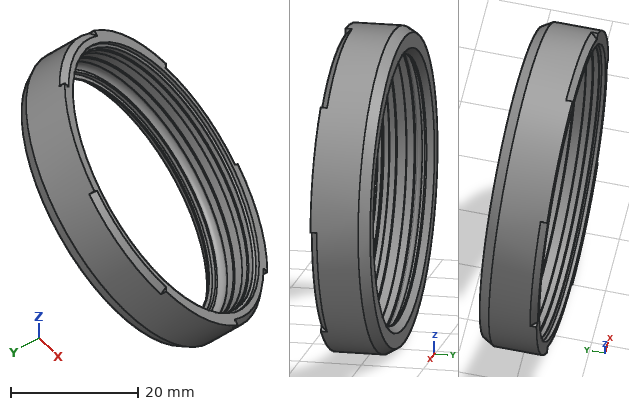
import cadquery as cq
import math

outer_radius = 26.0
width = 9.4
mouth_face = -width / 2
lip_face = width / 2

rim_chamfer_radial = 1.0
rim_chamfer_axial = 1.7

mouth_radius = 23.85
mouth_depth = 0.6
entry_cone_depth = 0.25

barrel_radius = 23.6
band_radius = 23.4
band_flank = 0.15
first_band_start = mouth_face + 2.05
first_band_end = first_band_start + 1.0
second_band_start = first_band_start + 2.75
second_band_end = second_band_start + 1.2
bands = [
    (first_band_start, first_band_end),
    (second_band_start, second_band_end),
]

seat_plane = mouth_face + 7.5
seat_radius = 22.8
cove_radius = 1.2
step_radius = 22.3
step_plane = seat_plane + 0.6
bore_radius = 21.55
lip_thickness = 0.25

notch_count = 4
notch_sweep = 45
notch_radial = 1.0
notch_axial = 1.05


def ring_body():
    """Revolve the ring section; sketch x is the radius and sketch y is the axis."""
    lead_in_edge = mouth_face + mouth_depth + entry_cone_depth

    cove_center_radius = barrel_radius - cove_radius
    cove_angle = math.acos((seat_radius - cove_center_radius) / cove_radius)
    cove_start = seat_plane - cove_radius * math.sin(cove_angle)
    cove_middle = (
        cove_center_radius + cove_radius * math.cos(cove_angle / 2),
        cove_start + cove_radius * math.sin(cove_angle / 2),
    )

    countersink_depth = lip_face - step_plane - lip_thickness

    section = (
        cq.Workplane("XY")
        .moveTo(outer_radius - rim_chamfer_radial, lip_face)
        .lineTo(outer_radius, lip_face - rim_chamfer_axial)
        .lineTo(outer_radius, mouth_face)
        .lineTo(mouth_radius, mouth_face)
        .lineTo(mouth_radius, mouth_face + mouth_depth)
        .lineTo(band_radius, lead_in_edge)
        .lineTo(barrel_radius, lead_in_edge + band_flank)
    )
    for band_start, band_end in bands:
        section = (
            section.lineTo(barrel_radius, band_start - band_flank)
            .lineTo(band_radius, band_start)
            .lineTo(band_radius, band_end)
            .lineTo(barrel_radius, band_end + band_flank)
        )
    section = (
        section.lineTo(barrel_radius, cove_start)
        .threePointArc(cove_middle, (seat_radius, seat_plane))
        .lineTo(step_radius, seat_plane)
        .lineTo(step_radius, step_plane)
        .lineTo(bore_radius, step_plane)
        .lineTo(bore_radius, step_plane + lip_thickness)
        .lineTo(bore_radius + countersink_depth, lip_face)
        .close()
    )
    return section.revolve(360, (0, 0, 0), (0, 1, 0))


def notch_cutter():
    """Wedge-section ring sector that bevels the outer mouth edge."""
    return (
        cq.Workplane("XY")
        .moveTo(outer_radius - notch_radial, mouth_face)
        .lineTo(outer_radius + notch_radial, mouth_face - notch_axial)
        .lineTo(outer_radius + notch_radial, mouth_face + 2 * notch_axial)
        .close()
        .revolve(notch_sweep, (0, 0, 0), (0, 1, 0))
    )


result = ring_body()
for index in range(notch_count):
    turn = index * 360 / notch_count
    result = result.cut(notch_cutter().rotate((0, 0, 0), (0, 1, 0), turn))